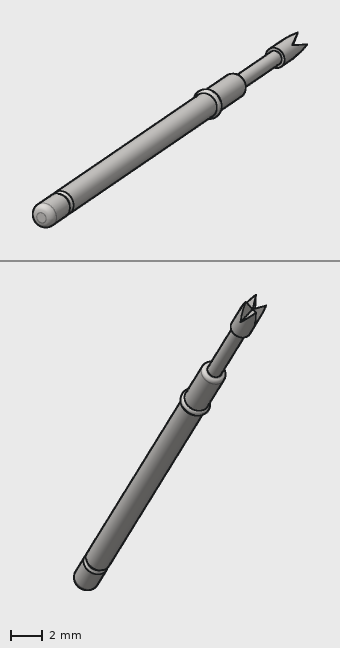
import cadquery as cq
import math

total_length = 34.3
crown_length = 3.05
barrel_length = 26.05
collar_start = 21.95
collar_width = 0.5
groove_start = 2.33
groove_width = 0.48

barrel_radius = 0.82
collar_radius = 1.0
plunger_radius = 0.48
crown_radius = 0.7

tail_fillet = 0.48
mouth_fillet = 0.27
groove_depth = 0.15
crown_center_depth = 0.7
crown_valley_depth = 1.68
crown_points = 4


def cylinder(radius, start, end):
    """Round bar on the Y axis between two stations."""
    plane = cq.Plane(origin=(0, start, 0), xDir=(1, 0, 0), normal=(0, 1, 0))
    return cq.Workplane(plane).circle(radius).extrude(end - start)


def make_barrel():
    barrel = cylinder(barrel_radius, 0, barrel_length)
    barrel = barrel.faces("<Y").edges().fillet(tail_fillet)
    return barrel.faces(">Y").edges().fillet(mouth_fillet)


def make_collar():
    """Ring with a rounded rim bulging from the barrel."""
    profile = (
        cq.Workplane("XY")
        .moveTo(0, collar_start)
        .lineTo(barrel_radius, collar_start)
        .threePointArc(
            (collar_radius, collar_start + collar_width / 2),
            (barrel_radius, collar_start + collar_width),
        )
        .lineTo(0, collar_start + collar_width)
        .close()
    )
    return profile.revolve(360, (0, 0, 0), (0, 1, 0))


def make_groove():
    """V-shaped ring cut around the barrel."""
    profile = (
        cq.Workplane("XY")
        .moveTo(barrel_radius, groove_start)
        .lineTo(barrel_radius - groove_depth, groove_start + groove_width / 2)
        .lineTo(barrel_radius, groove_start + groove_width)
        .close()
    )
    return profile.revolve(360, (0, 0, 0), (0, 1, 0))


def make_crown_cutter():
    """Star-shaped pyramid that leaves sharp points on the crown rim.

    Its apex lies on the axis; ridges climb to the points and valleys
    fall away between them. It reaches well outside the crown.
    """
    reach = 3
    apex_y = total_length - crown_center_depth
    apex = cq.Vector(0, apex_y, 0)
    top = cq.Vector(0, total_length + reach * crown_length, 0)
    ridge_rise = crown_center_depth
    valley_rise = crown_center_depth - crown_valley_depth
    corner_count = 2 * crown_points
    radius = reach * crown_radius

    corners = []
    for index in range(corner_count):
        angle = 2 * math.pi * index / corner_count
        rise = ridge_rise if index % 2 == 0 else valley_rise
        corner_y = apex_y + reach * rise
        corners.append(cq.Vector(radius * math.cos(angle), corner_y, radius * math.sin(angle)))

    faces = []
    for index, corner in enumerate(corners):
        next_corner = corners[(index + 1) % corner_count]
        for tip in (apex, top):
            outline = cq.Wire.makePolygon([tip, corner, next_corner], close=True)
            faces.append(cq.Face.makeFromWires(outline))
    return cq.Workplane(cq.Solid.makeSolid(cq.Shell.makeShell(faces)))


def make_plunger():
    crown_start = total_length - crown_length
    shaft_root = barrel_length - mouth_fillet
    shaft = cylinder(plunger_radius, shaft_root, crown_start)
    crown = cylinder(crown_radius, crown_start, total_length).cut(make_crown_cutter())
    return shaft.union(crown)


result = make_barrel().union(make_collar()).cut(make_groove()).union(make_plunger())